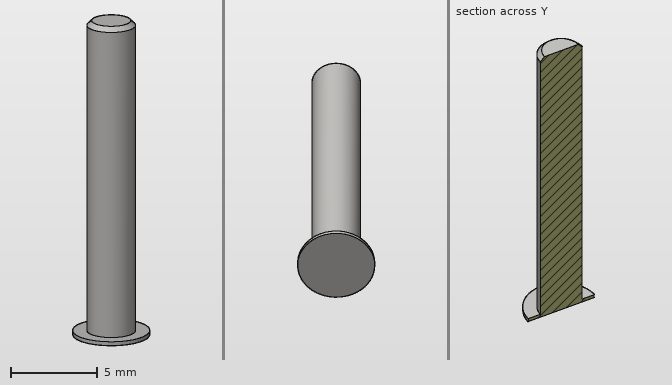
import cadquery as cq

total_height = 19.05
flange_diameter = 4.48
flange_thickness = 0.25
shank_diameter = 2.84

tip_chamfer = 0.29

shank_radius = shank_diameter / 2
flange_radius = flange_diameter / 2

half_section = (
    cq.Workplane("XZ")
    .moveTo(0, 0)
    .lineTo(flange_radius, 0)
    .lineTo(flange_radius, flange_thickness)
    .lineTo(shank_radius, flange_thickness)
    .lineTo(shank_radius, total_height - tip_chamfer)
    .lineTo(shank_radius - tip_chamfer, total_height)
    .lineTo(0, total_height)
    .close()
)

result = half_section.revolve(360, (0, 0, 0), (0, 1, 0))